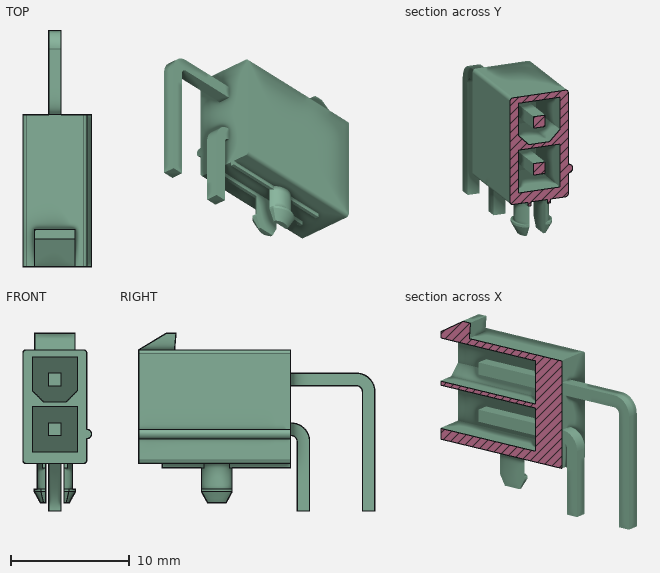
import cadquery as cq


body_width = 5.4
body_depth = 12.83
body_height = 9.6
edge_radius = 0.3

cavity_size = 3.8
cavity_depth = 10.0
cavity_pitch = 4.2
cavity_chamfer = 0.95
top_wall = 0.6
upper_row_z = body_height - top_wall - cavity_size / 2
lower_row_z = upper_row_z - cavity_pitch

pin_size = 1.07
pin_tip_setback = 4.0
bend_inner_radius = 0.5
bend_outer_radius = bend_inner_radius + pin_size
pin_drop = 4.0
upper_pin_overhang = 7.1
tail_pitch = 5.5
lower_pin_overhang = upper_pin_overhang - tail_pitch

latch_width = 3.4
latch_height = 1.4
latch_crest_front = 2.35
latch_crest_back = 3.17
latch_base_back = 3.05

bead_radius = 0.4
bead_z = 2.5

rib_width = 0.3
rib_height = 0.35
rib_front_setback = 2.0

peg_y = 6.6
peg_radius = 1.5
peg_slot_width = 1.5
barb_radius = 1.75
barb_half_depth = 1.3
barb_taper = 0.52
barb_top_z = -2.15
barb_taper_start_z = -2.35
peg_tip_z = -3.3


def make_housing():
    housing = cq.Workplane("XY").box(body_width, body_depth, body_height, centered=(True, False, False))
    return housing.edges("|Y").fillet(edge_radius)


def make_cavity(row_z, keyed):
    cavity = (
        cq.Workplane("XY")
        .box(cavity_size, cavity_depth, cavity_size, centered=(True, False, True))
        .translate((0, 0, row_z))
    )
    if keyed:
        cavity = cavity.edges("|Y and <Z").chamfer(cavity_chamfer)
    return cavity


def make_pin(row_z, overhang):
    """L-shaped pin running along Y at row_z, with its tail pointing down."""
    tail_back = body_depth + overhang
    tail_front = tail_back - pin_size
    pin_length = tail_back - pin_tip_setback
    top_z = row_z + pin_size / 2
    tail_length = top_z + pin_drop
    outer = (
        cq.Workplane("XY")
        .box(pin_size, pin_length, tail_length, centered=(True, False, False))
        .translate((0, pin_tip_setback, -pin_drop))
        .edges("|X and >Y and >Z")
        .fillet(bend_outer_radius)
    )
    inner = (
        cq.Workplane("XY")
        .box(pin_size, pin_length - pin_size, tail_length - pin_size, centered=(True, False, False))
        .translate((0, tail_front - (pin_length - pin_size), -pin_drop))
        .edges("|X and >Y and >Z")
        .fillet(bend_inner_radius)
    )
    return outer.cut(inner)


def make_latch():
    crest_z = body_height + latch_height
    profile = [
        (0, body_height),
        (latch_crest_front, crest_z),
        (latch_crest_back, crest_z),
        (latch_base_back, body_height),
    ]
    return cq.Workplane("YZ").polyline(profile).close().extrude(latch_width / 2, both=True)


def make_bead():
    return (
        cq.Workplane("XZ")
        .center(body_width / 2, bead_z)
        .circle(bead_radius)
        .extrude(-body_depth)
    )


def make_rib(side):
    """Rib flush with the wall of the peg slot; side is -1 or +1."""
    rib_x = side * (peg_slot_width + rib_width) / 2
    return (
        cq.Workplane("XY")
        .box(rib_width, body_depth - rib_front_setback, rib_height, centered=(True, False, False))
        .translate((rib_x, rib_front_setback, -rib_height))
    )


def make_peg():
    shaft = cq.Workplane("XY").circle(peg_radius).extrude(barb_top_z)

    tip_radius = barb_radius - barb_taper
    barb_outline = [
        (0, barb_top_z),
        (barb_radius, barb_top_z),
        (barb_radius, barb_taper_start_z),
        (tip_radius, peg_tip_z),
        (0, peg_tip_z),
    ]
    barb = cq.Workplane("XZ").polyline(barb_outline).close().revolve(360, (0, 0), (0, 1))

    tip_half_depth = barb_half_depth - barb_taper
    flats_outline = [
        (-barb_half_depth, barb_top_z),
        (barb_half_depth, barb_top_z),
        (barb_half_depth, barb_taper_start_z),
        (tip_half_depth, peg_tip_z),
        (-tip_half_depth, peg_tip_z),
        (-barb_half_depth, barb_taper_start_z),
    ]
    flats = cq.Workplane("YZ").polyline(flats_outline).close().extrude(barb_radius, both=True)

    slot = cq.Workplane("XY").rect(peg_slot_width, 2 * barb_radius).extrude(peg_tip_z)
    return shaft.union(barb.intersect(flats)).cut(slot).translate((0, peg_y, 0))


result = make_housing().union(make_latch()).union(make_bead())
result = result.cut(make_cavity(upper_row_z, keyed=True))
result = result.cut(make_cavity(lower_row_z, keyed=False))
result = result.union(make_pin(upper_row_z, upper_pin_overhang))
result = result.union(make_pin(lower_row_z, lower_pin_overhang))
for side in (-1, 1):
    result = result.union(make_rib(side))
result = result.union(make_peg())